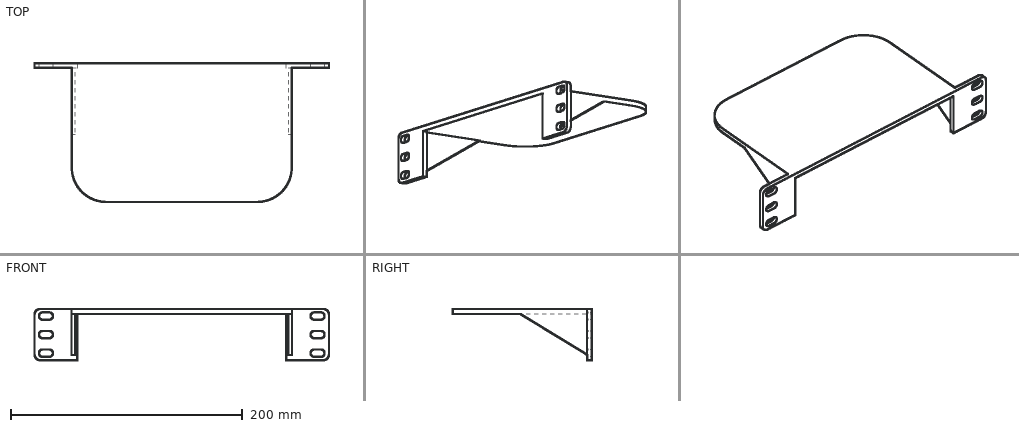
import cadquery as cq

plate_width = 254.0
plate_height = 44.5
plate_thickness = 4.0
plate_corner_radius = 5.0

total_depth = 120.0
shelf_width = 190.0
shelf_thickness = 4.5
shelf_corner_radius = 30.0

opening_width = 179.8

gusset_thickness = 3.0
gusset_reach = 69.0
gusset_bottom = 4.8

slot_length = 12.0
slot_height = 6.0
slot_pitch = 16.0
slot_edge_distance = 10.0


def make_plate():
    """Plate with rounded corners, a central opening and two columns of slots."""
    plate = (
        cq.Workplane("XY")
        .box(plate_width, plate_thickness, plate_height, centered=(True, False, False))
        .translate((0, -plate_thickness, 0))
        .edges("|Y")
        .fillet(plate_corner_radius)
    )
    opening = cq.Workplane("XY").box(
        opening_width,
        2 * plate_thickness,
        plate_height - shelf_thickness,
        centered=(True, True, False),
    ).translate((0, -plate_thickness / 2, 0))

    slot_x = plate_width / 2 - slot_edge_distance
    slot_centers = [
        (side * slot_x, plate_height / 2 + row * slot_pitch)
        for side in (-1, 1)
        for row in (-1, 0, 1)
    ]
    slots = (
        cq.Workplane("XZ")
        .pushPoints(slot_centers)
        .slot2D(slot_length, slot_height)
        .extrude(plate_thickness)
    )
    return plate.cut(opening).cut(slots)


def make_shelf():
    """Horizontal shelf with its two front corners rounded."""
    return (
        cq.Workplane("XY")
        .box(shelf_width, total_depth, shelf_thickness, centered=(True, False, False))
        .translate((0, -total_depth, plate_height - shelf_thickness))
        .edges("|Z and <Y")
        .fillet(shelf_corner_radius)
    )


def make_gusset(start_x):
    """Triangular web between plate and shelf, growing toward +X from start_x."""
    return (
        cq.Workplane("YZ", origin=(start_x, 0, 0))
        .moveTo(-plate_thickness, gusset_bottom)
        .lineTo(-plate_thickness, plate_height)
        .lineTo(-gusset_reach, plate_height)
        .close()
        .extrude(gusset_thickness)
    )


result = make_plate().union(make_shelf())
for gusset_start in (-shelf_width / 2, shelf_width / 2 - gusset_thickness):
    result = result.union(make_gusset(gusset_start))